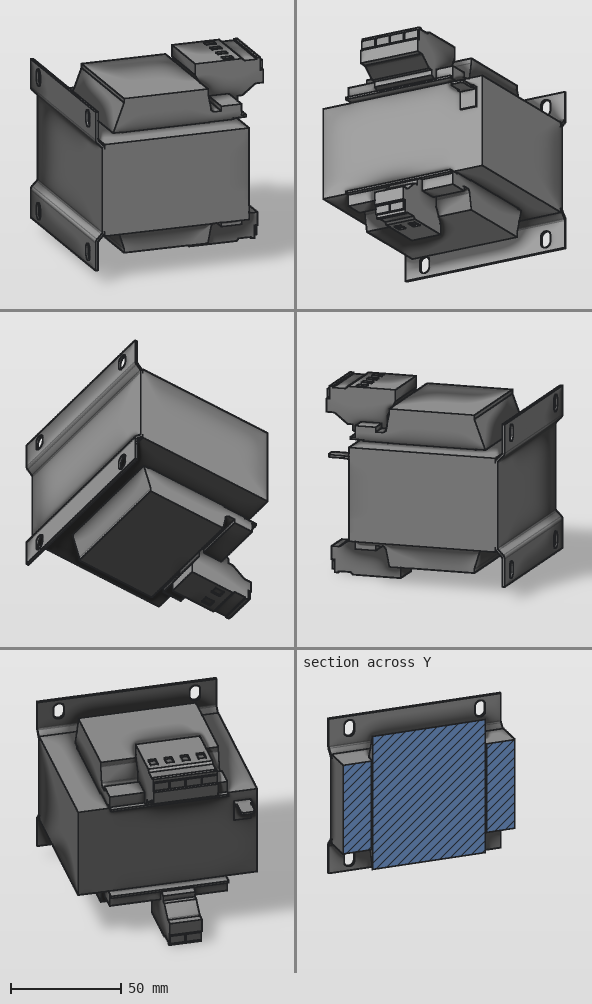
import cadquery as cq
import math

overall_depth = 92.9

core_width = 84.0
limb_width = core_width / 6
core_depth = 5 * limb_width
core_height = 43.7
core_top = core_height / 2

window_width = 4 * limb_width
window_depth = 3 * limb_width
bobbin_width = 55.2

upper_cover_top = 37.7
lower_cover_top = 35.9
upper_foot_y = 9.5
lower_foot_y = 11.0
cover_front_y = 14.8
cover_lip = 1.95
cover_back_y = 55.5
cover_back_drop_z = 35.5
cover_toe = (56.95, 28.1)
seat_start_y = 59.3
rail_front_y = 61.9
rail_back_y = 71.7
seat_z = 26.5
rail_top = 28.7
flange_back_y = 74.0
flange_step_y = 67.8
flange_bottom = 22.3
flange_top = 23.3

upper_block_count = 2
lower_block_count = 1
poles_per_block = 2
block_width = 15.05
block_center_x = -3.8
block_top = 44.7
block_front_y = 55.4
block_back_y = 88.4
front_edge_bottom = 39.3
neck_front_y = 59.3
neck_top = 32.4
hook_back_y = 75.9
hook_bevel_y = 73.7
hook_bevel_top = 24.6
hook_top = 27.1
underside_start_y = 78.2
underside_bend = (84.1, 31.7)
underside_end = (85.0, 32.05)
back_step_z = 38.2
lip_y = 87.0
lip_front_y = 85.3
lip_top = 44.2
groove_floor = 43.6
groove_front_y = 79.3
groove_slope_top_y = 78.2
pole_pitch = block_width / poles_per_block
pocket_width = 3.4
pocket_length = 4.7
pocket_center_y = 72.5
pocket_depth = 0.9
marker_width = 7.0
marker_back_y = 88.1
marker_bottom = 38.9
marker_top = 42.7

lug_center_x = -34.9
lug_root_width = 8.1
lug_blade_width = 6.5
lug_step_y = 73.2
lug_tip_y = 81.3
lug_tip_chamfer = 1.0
lug_top = 16.9
lug_thickness = 1.2
lug_foot_bottom = 7.3
lug_foot_thickness = 0.8

plate_thickness = 1.2
plate_front_y = block_back_y - overall_depth
plate_half_height = 37.8
web_bend_z = 20.3
bend_radius = 1.1
bend_angle = 45
bend_shift = plate_thickness * math.tan(math.radians(bend_angle / 2))
slot_x = 32.0
slot_z = 31.9
slot_width = 5.0
slot_length = 8.0


def extrude_along_x(outline, center_x, width):
    return outline.extrude(width / 2, both=True).translate((center_x, 0, 0))


def box(x_range, y_range, z_range):
    size = [end - start for start, end in (x_range, y_range, z_range)]
    start = (x_range[0], y_range[0], z_range[0])
    return cq.Workplane("XY").box(*size, centered=False).translate(start)


def centered_range(center, length):
    return (center - length / 2, center + length / 2)


def make_core():
    core = cq.Workplane("XY").box(core_width, core_depth, core_height)
    core = core.translate((0, core_depth / 2, 0))
    slit_width = (window_width - bobbin_width) / 2
    for side in (-1, 1):
        slit = cq.Workplane("XY").box(slit_width, window_depth, core_height)
        slit_x = side * (window_width - slit_width) / 2
        core = core.cut(slit.translate((slit_x, limb_width + window_depth / 2, 0)))
    return core


def make_bobbin_end(cover_top, foot_y):
    """Bobbin end above the core."""
    outline = (
        cq.Workplane("YZ")
        .moveTo(foot_y, core_top)
        .lineTo(cover_front_y, cover_top - cover_lip)
        .lineTo(cover_front_y, cover_top)
        .lineTo(cover_back_y, cover_top)
        .lineTo(cover_back_y, cover_back_drop_z)
        .lineTo(*cover_toe)
        .tangentArcPoint((seat_start_y, seat_z), relative=False)
        .lineTo(rail_front_y, seat_z)
        .lineTo(rail_front_y, rail_top)
        .lineTo(rail_back_y, rail_top)
        .lineTo(rail_back_y, flange_top)
        .lineTo(flange_back_y, flange_top)
        .lineTo(flange_back_y, flange_bottom)
        .lineTo(flange_step_y, flange_bottom)
        .lineTo(flange_step_y, core_top)
        .close()
    )
    return extrude_along_x(outline, 0, bobbin_width)


def make_terminals(block_count):
    """Row of terminal blocks clipped on the upper rail."""
    row_width = block_count * block_width
    outline = (
        cq.Workplane("YZ")
        .moveTo(block_front_y, block_top)
        .lineTo(block_front_y, front_edge_bottom)
        .lineTo(neck_front_y, neck_top)
        .lineTo(neck_front_y, seat_z)
        .lineTo(rail_front_y, seat_z)
        .lineTo(rail_front_y, rail_top)
        .lineTo(rail_back_y, rail_top)
        .lineTo(rail_back_y, flange_top)
        .lineTo(hook_bevel_y, flange_top)
        .lineTo(hook_back_y, hook_bevel_top)
        .lineTo(hook_back_y, hook_top)
        .lineTo(underside_start_y, hook_top)
        .lineTo(*underside_bend)
        .lineTo(*underside_end)
        .lineTo(block_back_y, underside_end[1])
        .lineTo(block_back_y, back_step_z)
        .lineTo(lip_y, back_step_z)
        .lineTo(lip_y, lip_top)
        .lineTo(lip_front_y, lip_top)
        .lineTo(lip_front_y, groove_floor)
        .lineTo(groove_front_y, groove_floor)
        .lineTo(groove_slope_top_y, block_top)
        .close()
    )
    terminals = extrude_along_x(outline, block_center_x, row_width)
    pole_count = poles_per_block * block_count
    for pole in range(pole_count):
        pole_x = block_center_x + (pole - (pole_count - 1) / 2) * pole_pitch
        pocket = box(
            centered_range(pole_x, pocket_width),
            centered_range(pocket_center_y, pocket_length),
            (block_top - pocket_depth, block_top),
        )
        marker = box(
            centered_range(pole_x, marker_width),
            (lip_y, marker_back_y),
            (marker_bottom, marker_top),
        )
        terminals = terminals.cut(pocket).union(marker)
    return terminals


def make_earth_lug():
    root_x = centered_range(lug_center_x, lug_root_width)
    blade_x = centered_range(lug_center_x, lug_blade_width)
    blade_z = (lug_top - lug_thickness, lug_top)
    foot = box(root_x, (core_depth, core_depth + lug_foot_thickness), (lug_foot_bottom, lug_top))
    root = box(root_x, (core_depth, lug_step_y), blade_z)
    blade = box(blade_x, (core_depth, lug_tip_y), blade_z)
    blade = blade.edges("|Z and >Y").chamfer(lug_tip_chamfer)
    return foot.union(root).union(blade)


def make_mounting_plate():
    web_front_y = -plate_thickness
    flange_back_face_y = plate_front_y + plate_thickness
    front_bend_z = web_bend_z + (web_front_y - plate_front_y) / math.tan(math.radians(bend_angle))
    upper_front = [
        (web_front_y, web_bend_z),
        (plate_front_y, front_bend_z),
        (plate_front_y, plate_half_height),
    ]
    upper_back = [
        (flange_back_face_y, plate_half_height),
        (flange_back_face_y, front_bend_z + bend_shift),
        (0, web_bend_z + bend_shift),
    ]
    upper = upper_front + upper_back
    lower = [(y, -z) for y, z in reversed(upper)]
    outline = cq.Workplane("YZ").polyline(upper + lower).close()
    plate = extrude_along_x(outline, 0, core_width)

    outer_radius = bend_radius + plate_thickness
    bends = (
        (upper_front[0], bend_radius),
        (upper_front[1], outer_radius),
        (upper_back[1], bend_radius),
        (upper_back[2], outer_radius),
    )
    for (y, z), radius in bends:
        for side in (-1, 1):
            corner = cq.selectors.NearestToPointSelector((0, y, side * z))
            plate = plate.edges("|X").edges(corner).fillet(radius)

    slot_centers = [(x, z) for x in (-slot_x, slot_x) for z in (-slot_z, slot_z)]
    slots = (
        cq.Workplane("XZ")
        .pushPoints(slot_centers)
        .slot2D(slot_length, slot_width, 90)
        .extrude(overall_depth, both=True)
    )
    return plate.cut(slots)


upper_end = make_bobbin_end(upper_cover_top, upper_foot_y).union(make_terminals(upper_block_count))
lower_end = make_bobbin_end(lower_cover_top, lower_foot_y).union(make_terminals(lower_block_count))

result = (
    make_core()
    .union(upper_end)
    .union(lower_end.mirror("XY"))
    .union(make_earth_lug())
    .union(make_mounting_plate())
)